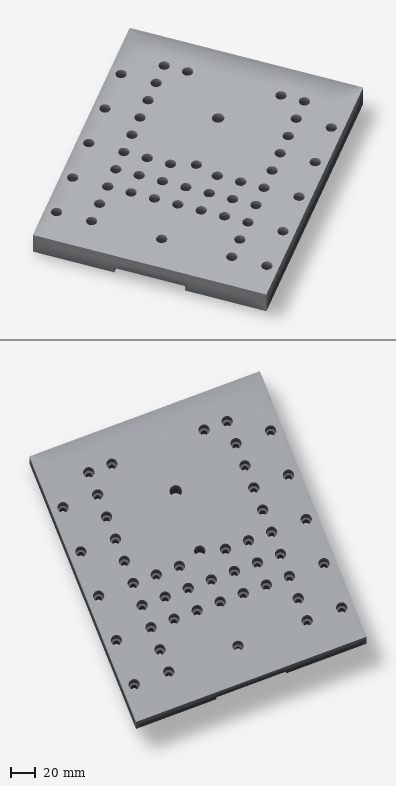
import cadquery as cq

length = 240.0
pitch = length / 12
width = 10 * pitch
thickness = pitch
front_y = -length / 2

bore_diameter = 5.0
edge_bore_diameter = 5.5
counterbore_diameter = 9.0
counterbore_depth = thickness / 2
first_row_y = front_y + 1.5 * pitch
edge_column = 4.5

centre_rows = (0, 2, 3)
side_rows = {
    1: (2, 3, 4),
    2: (2, 3, 4, 9),
    3: range(10),
}
edge_rows = range(0, 10, 2)

pivot_diameter = 10.0
pivot_y = 2.5 * pitch
pin_diameter = 9.0
pin_offset = 54.0
pin_y = pivot_y - pin_offset

disc_height = 0.15 * pitch
disc_tip_diameter = 85.0
disc_base_diameter = disc_tip_diameter + 2 * disc_height

recess_width = 60.5
recess_length = 3 * pitch
recess_depth = 5.3
recess_corner_radius = 8.0


def mirrored_points(column, rows):
    """Hole centres in the given rows of the columns at plus and minus this many pitches."""
    return [(side * column * pitch, first_row_y + row * pitch) for side in (-1, 1) for row in rows]


def cut_stepped_holes(body, points, diameter):
    """Counterbored through holes drilled from the top face."""
    top = body.faces(">Z").workplane(origin=(0, 0, thickness))
    return top.pushPoints(points).cboreHole(diameter, counterbore_diameter, counterbore_depth)


def cut_plain_hole(body, y, diameter):
    """Through hole on the centre line."""
    return body.faces(">Z").workplane(origin=(0, y, thickness)).hole(diameter)


plate = cq.Workplane("XY").box(width, length, thickness, centered=(True, True, False))

recess = (
    cq.Workplane("XY")
    .box(recess_width, recess_length, recess_depth, centered=(True, False, False))
    .edges("|Z and >Y")
    .fillet(recess_corner_radius)
    .translate((0, front_y, 0))
)

disc = (
    cq.Workplane("XY")
    .center(0, pivot_y)
    .circle(disc_base_diameter / 2)
    .workplane(offset=-disc_height)
    .circle(disc_tip_diameter / 2)
    .loft()
)

grid_points = [(0, first_row_y + row * pitch) for row in centre_rows]
for column, rows in side_rows.items():
    grid_points += mirrored_points(column, rows)

body = plate.cut(recess).union(disc)
body = cut_stepped_holes(body, grid_points, bore_diameter)
body = cut_stepped_holes(body, mirrored_points(edge_column, edge_rows), edge_bore_diameter)
body = cut_plain_hole(body, pivot_y, pivot_diameter)
body = cut_plain_hole(body, pin_y, pin_diameter)
result = body